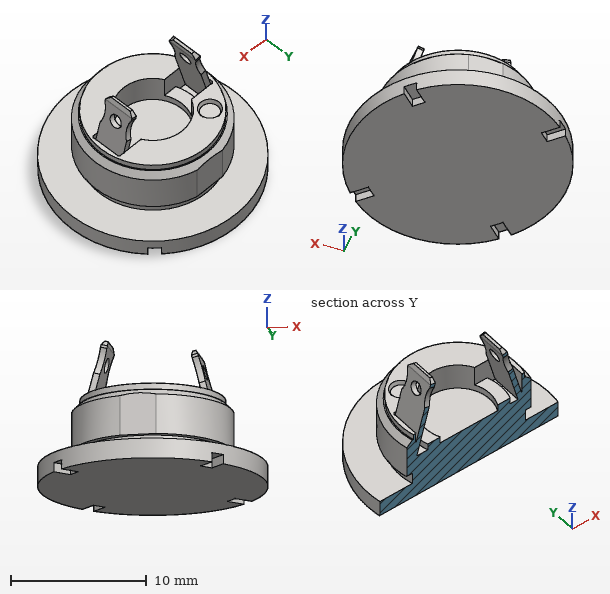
import cadquery as cq
import math

flange_diameter = 17.0
flange_height = 1.5
neck_diameter = 11.0
neck_top = 2.5
collar_diameter = 12.0
collar_chamfer_start = 5.5
collar_top = 6.0
lip_diameter = 10.8
body_top = 6.5
across_flats = 11.7

notch_width = 1.0
notch_height = 0.7
notch_depth = 1.5
notch_angles = (45, 135, 225, 315)

bore_diameter = 6.0
bore_depth = 2.4
slot_length = 10.0
slot_width = 2.75
shelf_diameter = 8.2
shelf_depth = 1.8
slot_corner_radius = 0.14
dimple_distance = 4.22
dimple_angle = 135
dimple_top_diameter = 1.84
dimple_floor_diameter = 1.56
dimple_depth = 0.34

tab_width = 2.72
tab_thickness = 0.5
tab_length = 7.31
tab_lean = 15.0
tab_tip_chamfer = 0.39
tab_tip_thickness = 0.25
waist_length = 2.0
waist_indent = 0.24
eye_diameter = 1.1
eye_from_tip = 1.6
tall_tab_top = 11.0
short_tab_drop = 1.02
tab_tip_offset = 3.28


def make_body():
    profile = [
        (0, 0),
        (flange_diameter / 2, 0),
        (flange_diameter / 2, flange_height),
        (neck_diameter / 2, flange_height),
        (neck_diameter / 2, neck_top),
        (collar_diameter / 2, neck_top),
        (collar_diameter / 2, collar_chamfer_start),
        (neck_diameter / 2, collar_top),
        (lip_diameter / 2, collar_top),
        (lip_diameter / 2, body_top),
        (0, body_top),
    ]
    return cq.Workplane("XZ").polyline(profile).close().revolve(360, (0, 0), (0, 1))


def trim_flats(body):
    """Cut the two collar flats that face -Y and +Y."""
    flat_depth = (collar_diameter - across_flats) / 2
    for side in (-1, 1):
        waste = (
            cq.Workplane("XY", origin=(0, side * (across_flats + flat_depth) / 2, neck_top))
            .rect(collar_diameter, flat_depth)
            .extrude(collar_top - neck_top)
        )
        body = body.cut(waste)
    return body


def cut_notches(body):
    for angle in notch_angles:
        notch = (
            cq.Workplane("XY")
            .center(flange_diameter / 2, 0)
            .rect(2 * notch_depth, notch_width)
            .extrude(notch_height)
            .rotate((0, 0, 0), (0, 0, 1), angle)
        )
        body = body.cut(notch)
    return body


def cut_top_recesses(body):
    """Cut the bore, the cross slot for the tabs and the tapered dimple.

    A round shelf around the bore raises the slot floor, leaving a deeper pit at each slot end.
    """
    top = cq.Workplane("XY", origin=(0, 0, body_top))
    bore = top.circle(bore_diameter / 2).extrude(-bore_depth)
    slot = (
        top.rect(slot_length, slot_width)
        .extrude(-bore_depth)
        .edges("|Z")
        .fillet(slot_corner_radius)
    )
    shelf = (
        cq.Workplane("XY", origin=(0, 0, body_top - bore_depth))
        .circle(shelf_diameter / 2)
        .extrude(bore_depth - shelf_depth)
    )
    dimple_x = dimple_distance * math.cos(math.radians(dimple_angle))
    dimple_y = dimple_distance * math.sin(math.radians(dimple_angle))
    dimple = (
        top.center(dimple_x, dimple_y)
        .circle(dimple_top_diameter / 2)
        .workplane(offset=-dimple_depth)
        .circle(dimple_floor_diameter / 2)
        .loft()
    )
    return body.cut(bore).cut(slot.cut(shelf)).cut(dimple)


def make_tab():
    """Upright tab across X with its tip centred on the origin, before it leans."""
    half_width = tab_width / 2
    half_tip = half_width - tab_tip_chamfer
    waist_top = -eye_from_tip + waist_length / 2
    waist_bottom = -eye_from_tip - waist_length / 2
    half_waist = half_width - waist_indent
    face = (
        cq.Workplane("YZ")
        .moveTo(-half_tip, 0)
        .lineTo(half_tip, 0)
        .lineTo(half_width, -tab_tip_chamfer)
        .lineTo(half_width, waist_top)
        .threePointArc((half_waist, -eye_from_tip), (half_width, waist_bottom))
        .lineTo(half_width, -tab_length)
        .lineTo(-half_width, -tab_length)
        .lineTo(-half_width, waist_bottom)
        .threePointArc((-half_waist, -eye_from_tip), (-half_width, waist_top))
        .lineTo(-half_width, -tab_tip_chamfer)
        .close()
        .extrude(tab_thickness / 2, both=True)
    )
    edge_profile = [
        (-tab_thickness / 2, -tab_length),
        (tab_thickness / 2, -tab_length),
        (tab_thickness / 2, -tab_tip_chamfer),
        (tab_tip_thickness / 2, 0),
        (-tab_tip_thickness / 2, 0),
        (-tab_thickness / 2, -tab_tip_chamfer),
    ]
    edge = cq.Workplane("XZ").polyline(edge_profile).close().extrude(half_width, both=True)
    eye = (
        cq.Workplane("YZ")
        .center(0, -eye_from_tip)
        .circle(eye_diameter / 2)
        .extrude(tab_thickness, both=True)
    )
    return face.intersect(edge).cut(eye)


def place_tab(side, top):
    """Lean a tab towards the axis and raise its highest corner to the given Z."""
    corner_rise = tab_tip_thickness / 2 * math.sin(math.radians(tab_lean))
    leaning = make_tab().rotate((0, 0, 0), (0, 1, 0), -side * tab_lean)
    return leaning.translate((side * tab_tip_offset, 0, top - corner_rise))


body = cut_top_recesses(cut_notches(trim_flats(make_body())))
tall_tab = place_tab(-1, tall_tab_top)
short_tab = place_tab(1, tall_tab_top - short_tab_drop)
result = body.union(tall_tab).union(short_tab)